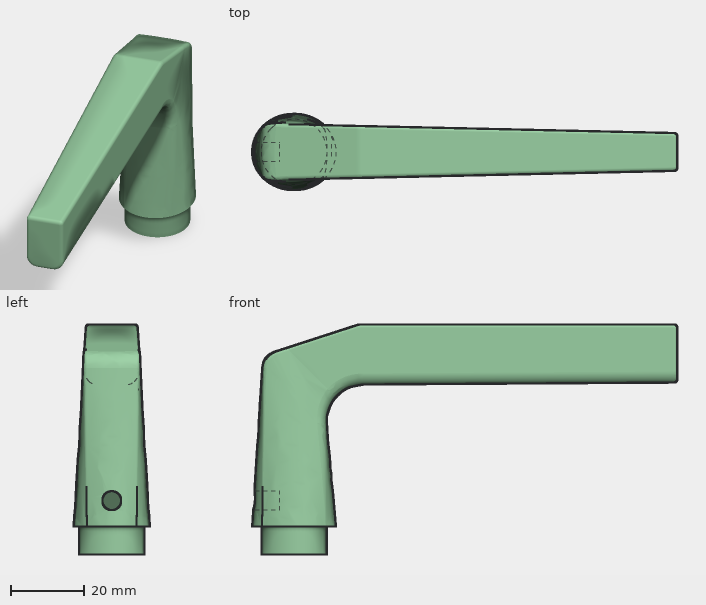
import cadquery as cq
import math


collar_diameter = 18.0
collar_height = 7.7

leg_length_x = 23.0
leg_width_y = 20.97
leg_flat_half_width = 6.8
leg_outer_lean = 0.062
leg_inner_lean = 0.087

total_length = 116.49
total_height = 63.1
underside_start_z = 46.5
underside_end_z = 47.1
roof_bend_x = 17.8
roof_angle = 18.0
arm_half_width_at_axis = 7.55
arm_end_half_width = 5.2

outer_corner_radius = 5.0
inner_corner_radius = 10.0
roof_bend_radius = 4.0
inner_edge_radius = 3.0
outer_edge_radius = 1.0

pin_hole_diameter = 5.2
pin_hole_z = 14.8
pin_hole_end_x = -4.0

leg_overrun = 0.25
hollow_spread = 1.3
hollow_ellipse_shift = 2.0
clearance = 20.0

leg_half_length = leg_length_x / 2
leg_half_width = leg_width_y / 2
leg_flat_x = leg_half_length * math.sqrt(1 - (leg_flat_half_width / leg_half_width) ** 2)
arm_end_x = total_length - leg_half_length

inner_corner_z = underside_start_z
inner_corner_x = leg_half_length - leg_inner_lean * (inner_corner_z - collar_height)

mitre_sum = inner_corner_x + inner_corner_z
outer_mitre_z = (mitre_sum + leg_half_length + leg_outer_lean * collar_height) / (1 + leg_outer_lean)
outer_mitre_x = mitre_sum - outer_mitre_z
overrun_x = inner_corner_x + leg_overrun * (inner_corner_x - outer_mitre_x)
overrun_z = mitre_sum - overrun_x


def arm_half_width(x):
    """Half the width of the arm, which narrows evenly towards its end."""
    return arm_half_width_at_axis + (arm_end_half_width - arm_half_width_at_axis) * x / arm_end_x


def roof_slope_z(x):
    """Height at x of the sloping roof between the arm and the outer corner."""
    return total_height - math.tan(math.radians(roof_angle)) * (roof_bend_x - x)


def edges_near(body, *points):
    """Workplane holding, for each point, the edge of the body nearest to it."""
    found = [body.edges(cq.selectors.NearestToPointSelector(point)).val() for point in points]
    return body.newObject(found)


def polyline_edges(points):
    return [cq.Edge.makeLine(start, end) for start, end in zip(points, points[1:])]


def ruled_body(lower_edges, upper_edges):
    """Solid between two closed loops, with a ruled face between each pair of edges."""
    faces = [cq.Face.makeRuledSurface(low, high) for low, high in zip(lower_edges, upper_edges)]
    for loop in (lower_edges, upper_edges):
        faces.append(cq.Face.makeFromWires(cq.Wire.assembleEdges(loop)))
    return cq.Workplane(cq.Solid.makeSolid(cq.Shell.makeShell(faces)))


def make_leg():
    """Ruled body from the base ellipse up to the mitre plane, overrunning on the inner side."""
    flat_angle = math.degrees(math.asin(leg_flat_half_width / leg_half_width))
    inner_angle = flat_angle - leg_overrun * (180 - 2 * flat_angle)
    arc_ends = [-inner_angle, inner_angle, 180 - flat_angle, 180 + flat_angle, 360 - inner_angle]
    base_centre = cq.Vector(0, 0, collar_height)
    base = [
        cq.Edge.makeEllipse(leg_half_length, leg_half_width, base_centre, angle1=start, angle2=end)
        for start, end in zip(arc_ends, arc_ends[1:])
    ]

    inner_half_width = arm_half_width(overrun_x)
    outer_half_width = arm_half_width(outer_mitre_x)
    corners = [
        cq.Vector(overrun_x, -inner_half_width, overrun_z),
        cq.Vector(overrun_x, inner_half_width, overrun_z),
        cq.Vector(outer_mitre_x, outer_half_width, outer_mitre_z),
        cq.Vector(outer_mitre_x, -outer_half_width, outer_mitre_z),
    ]
    return ruled_body(base, polyline_edges(corners + corners[:1]))


def make_arm():
    """Tapered bar from the mitre plane to the end of the arm."""
    start_x = mitre_sum - total_height
    start_half_width = arm_half_width(start_x)
    plan = (
        cq.Workplane("XY")
        .moveTo(start_x, -start_half_width)
        .lineTo(arm_end_x, -arm_end_half_width)
        .lineTo(arm_end_x, arm_end_half_width)
        .lineTo(start_x, start_half_width)
        .close()
        .extrude(total_height)
    )
    outline = (
        cq.Workplane("XZ")
        .moveTo(overrun_x, overrun_z)
        .lineTo(arm_end_x, overrun_z)
        .lineTo(arm_end_x, total_height)
        .lineTo(start_x, total_height)
        .close()
        .extrude(leg_width_y, both=True)
    )
    return plan.intersect(outline)


def make_hollow():
    """Space inside the elbow: bounded by the inner side of the leg and the underside of the arm."""
    centre_x = -hollow_ellipse_shift
    radius_x = leg_half_length - centre_x
    flat_cosine = (leg_flat_x - centre_x) / radius_x
    radius_y = leg_flat_half_width / math.sqrt(1 - flat_cosine ** 2)
    spread_angle = hollow_spread * math.degrees(math.acos(flat_cosine))
    lower_arc = cq.Edge.makeEllipse(
        radius_x, radius_y, cq.Vector(centre_x, 0, collar_height),
        angle1=360 - spread_angle, angle2=360 + spread_angle)
    arc_start = lower_arc.startPoint()
    arc_end = lower_arc.endPoint()

    far_x = arm_end_x + clearance
    underside_slope = (underside_end_z - inner_corner_z) / (arm_end_x - inner_corner_x)
    far_z = inner_corner_z + underside_slope * (far_x - inner_corner_x)
    half_width = hollow_spread * arm_half_width(inner_corner_x)
    lower_corners = [
        arc_end,
        cq.Vector(far_x, arc_end.y, collar_height),
        cq.Vector(far_x, arc_start.y, collar_height),
        arc_start,
    ]
    upper_corners = [
        cq.Vector(inner_corner_x, -half_width, inner_corner_z),
        cq.Vector(inner_corner_x, half_width, inner_corner_z),
        cq.Vector(far_x, half_width, far_z),
        cq.Vector(far_x, -half_width, far_z),
    ]
    lower = [lower_arc] + polyline_edges(lower_corners)
    upper = polyline_edges(upper_corners + upper_corners[:1])
    hollow = ruled_body(lower, upper)
    return edges_near(hollow, (inner_corner_x, 0, inner_corner_z)).fillet(inner_corner_radius)


def make_roof_waste():
    """Everything above the sloping roof."""
    start_x = -leg_half_length
    waste_top_z = total_height + clearance
    return (
        cq.Workplane("XZ")
        .moveTo(start_x, roof_slope_z(start_x))
        .lineTo(roof_bend_x, total_height)
        .lineTo(roof_bend_x, waste_top_z)
        .lineTo(start_x, waste_top_z)
        .close()
        .extrude(leg_width_y, both=True)
    )


def round_profile(body):
    """Round the outer corner of the elbow and the bend in the roof."""
    corner_x = outer_mitre_x
    body = edges_near(body, (corner_x, 0, roof_slope_z(corner_x))).fillet(outer_corner_radius)
    return edges_near(body, (roof_bend_x, 0, total_height)).fillet(roof_bend_radius)


def half_space_block(side):
    """Block covering all of the part on the +Y side (side = 1) or the -Y side (side = -1)."""
    reach = 2 * total_length
    return cq.Workplane("XY").box(reach, reach, reach).translate((0, side * reach / 2, 0))


def round_sides(body, arm_edge_point, leg_edge_point, radius):
    """Round a chain of edges on the +Y side and its mirror image, giving a point near each half of it.

    Each side is rounded on its own, and the two finished halves are then joined.
    """
    halves = []
    for side in (1, -1):
        points = [(x, side * arm_half_width(x), z) for x, z in (arm_edge_point, leg_edge_point)]
        rounded = edges_near(body, *points).fillet(radius)
        halves.append(rounded.intersect(half_space_block(side)))
    return halves[0].union(halves[1]).clean()


def round_outer_edges(body):
    """Round the edges along the roof, outer corner and outer side of the leg."""
    roof_point = ((roof_bend_x + arm_end_x) / 2, total_height)
    corner_point = (outer_mitre_x, roof_slope_z(outer_mitre_x))
    return round_sides(body, roof_point, corner_point, outer_edge_radius)


def round_inner_edges(body):
    """Round the edges along the underside and elbow; the rounding fades out at the leg's base."""
    arm_point = (inner_corner_x + inner_corner_radius / 2, inner_corner_z)
    leg_point = (inner_corner_x, inner_corner_z - inner_corner_radius / 2)
    return round_sides(body, arm_point, leg_point, inner_edge_radius)


def make_collar():
    return cq.Workplane("XY").circle(collar_diameter / 2).extrude(collar_height)


def make_pin_hole():
    length = leg_half_length + pin_hole_end_x
    return (
        cq.Workplane("YZ", origin=(-leg_half_length, 0, pin_hole_z))
        .circle(pin_hole_diameter / 2)
        .extrude(length)
    )


body = make_leg().union(make_arm())
body = body.cut(make_hollow()).cut(make_roof_waste())
body = round_profile(body)
body = round_outer_edges(body)
body = round_inner_edges(body)
body = body.faces(">X").edges().fillet(outer_edge_radius)
result = body.union(make_collar()).cut(make_pin_hole())